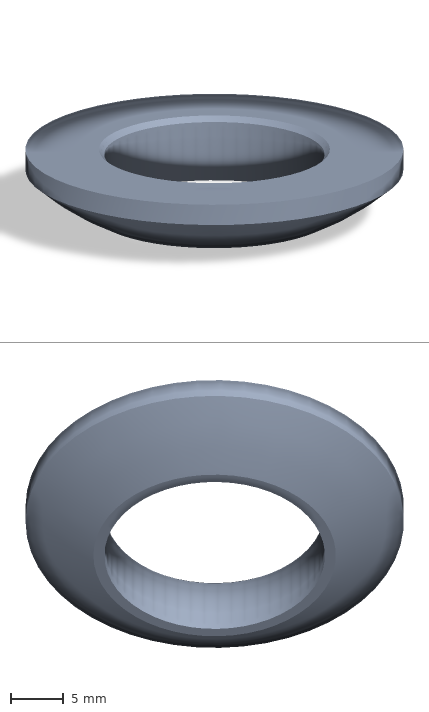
import cadquery as cq
import math

outer_diameter = 36.0
height = 6.3
rim_height = 2.0
seat_radius = 27.0
bore_diameter = 21.0
bore_chamfer = 0.5

outer_radius = outer_diameter / 2
bore_radius = bore_diameter / 2
seat_top = height - rim_height

sphere_center = seat_top + math.sqrt(seat_radius**2 - outer_radius**2)


def seat_radius_at(z):
    """Distance from the axis to the spherical seat at height z."""
    return math.sqrt(seat_radius**2 - (sphere_center - z) ** 2)


seat_middle = seat_top / 2

half_section = (
    cq.Workplane("XZ")
    .moveTo(bore_radius, 0)
    .lineTo(seat_radius_at(0), 0)
    .threePointArc((seat_radius_at(seat_middle), seat_middle), (outer_radius, seat_top))
    .lineTo(outer_radius, height)
    .lineTo(bore_radius + bore_chamfer, height)
    .lineTo(bore_radius, height - bore_chamfer)
    .close()
)

result = half_section.revolve(360, (0, 0, 0), (0, 1, 0))